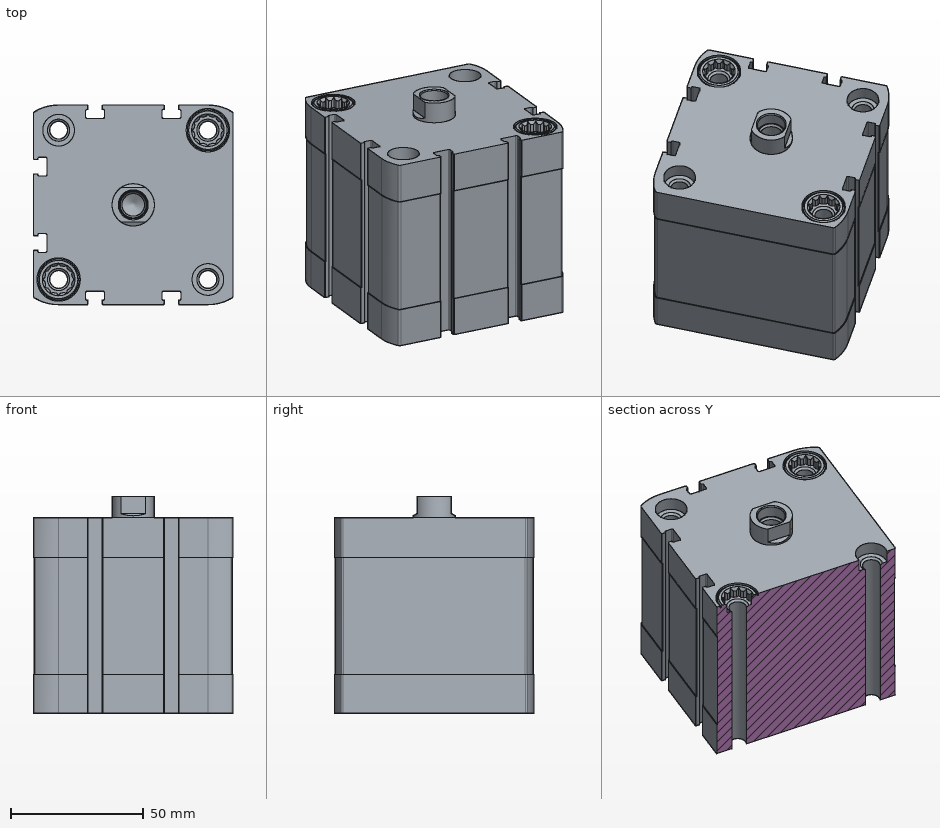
import cadquery as cq
import math

width = 75.5
total_height = 82
rod_projection = 8.0
housing_height = total_height - rod_projection
half_width = width / 2

bottom_cap_height = 14.8
top_cap_height = 15.1
barrel_inset = 0.3

corner_radius = 17.55
corner_start = 28.3
corner_edge_radius = 1.0

slot_offset = 14.4
slot_neck_width = 5.4
slot_width = 7.05
slot_depth = 5.1
slot_lip = 1.7
slot_edge_radius = 0.5
slot_mouth_bevel = 0.25

hole_offset = 28.2
through_diameter = 6.65
lead_in_diameter = 8.4
lead_in_depth = 0.7
counterbore_diameter = 12.0
counterbore_depth = 5.3

collar_diameter = 15.5
collar_chamfer = 0.5
collar_gap_diameter = 16.4
collar_gap_depth = 1.0
socket_squares = 3
socket_bore_diameter = 10.5
socket_point_diameter = 12.0
socket_lead_in_diameter = 12.3
socket_lead_in_depth = 1.3
socket_depth = 4.4

rod_diameter = 16.0
rod_radius = rod_diameter / 2
rod_base = housing_height - top_cap_height
flat_width = 13.0
flat_length = 6.5
flat_run_out_angle = 30
rod_bore_chamfer = 0.4
rod_bore_diameter = 10.5
rod_bore_depth = 5.1
rod_bore_seat_diameter = 9.8
rod_bore_seat_depth = 0.8
thread_diameter = 8.5
thread_depth = 13.1
drill_point_angle = 118


def cylinder(diameter, bottom, top):
    return cq.Workplane("XY").workplane(offset=bottom).circle(diameter / 2).extrude(top - bottom)


def cone(bottom_diameter, bottom, top_diameter, top):
    """A cone frustum on the Z axis, pointed where its bottom diameter is zero."""
    profile = cq.Workplane("XZ").moveTo(0, bottom)
    if bottom_diameter > 0:
        profile = profile.lineTo(bottom_diameter / 2, bottom)
    profile = profile.lineTo(top_diameter / 2, top).lineTo(0, top).close()
    return profile.revolve(360, (0, 0), (0, 1))


def housing_blank(inset, bottom, top):
    """A length of the housing's outer shape, set in on all sides by the inset."""
    side = half_width - inset
    radius = corner_radius - inset
    arc_centre_y = half_width - corner_radius
    run = side - corner_start
    corner_y = arc_centre_y + math.sqrt(radius**2 - run**2)
    half_sweep = math.asin(run / radius) / 2
    mid_x = corner_start + radius * math.sin(half_sweep)
    mid_y = arc_centre_y + radius * math.cos(half_sweep)
    blank = (
        cq.Workplane("XY")
        .workplane(offset=bottom)
        .moveTo(-corner_start, side)
        .lineTo(corner_start, side)
        .threePointArc((mid_x, mid_y), (side, corner_y))
        .lineTo(side, -corner_y)
        .threePointArc((mid_x, -mid_y), (corner_start, -side))
        .lineTo(-corner_start, -side)
        .threePointArc((-mid_x, -mid_y), (-side, -corner_y))
        .lineTo(-side, corner_y)
        .threePointArc((-mid_x, mid_y), (-corner_start, side))
        .close()
        .extrude(top - bottom)
    )
    sharp_edges = blank.edges("|Z and (<X or >X)")
    return sharp_edges.fillet(corner_edge_radius)


def slot_cutter(offset, angle, inset):
    """A T-slot in the +Y side at an X offset, then turned about Z to its own side.

    The edges of the slot's mouth are bevelled where it meets a side face set in by the inset.
    """
    cavity_depth = slot_depth - slot_lip
    cavity = (
        cq.Workplane("XY")
        .center(offset, half_width - slot_depth + cavity_depth / 2)
        .rect(slot_width, cavity_depth)
        .extrude(housing_height)
        .edges("|Z")
        .fillet(slot_edge_radius)
    )
    half_neck = slot_neck_width / 2
    half_mouth = half_neck + slot_mouth_bevel
    floor = half_width - slot_depth
    face = half_width - inset
    neck = (
        cq.Workplane("XY")
        .moveTo(offset - half_neck, floor)
        .lineTo(offset + half_neck, floor)
        .lineTo(offset + half_neck, face - slot_mouth_bevel)
        .lineTo(offset + half_mouth, face)
        .lineTo(offset - half_mouth, face)
        .lineTo(offset - half_neck, face - slot_mouth_bevel)
        .close()
        .extrude(housing_height)
    )
    return cavity.union(neck).rotate((0, 0, 0), (0, 0, 1), angle)


def housing_section(inset, bottom, top):
    """A length of the housing with slots in its +Y, -X and -Y sides."""
    section = housing_blank(inset, bottom, top)
    for angle in (0, 90, 180):
        for offset in (-slot_offset, slot_offset):
            section = section.cut(slot_cutter(offset, angle, inset))
    return section


def through_hole(floor):
    """The through bore, with a conical lead-in below the given floor level."""
    bore = cylinder(through_diameter, 0, floor)
    return bore.union(cone(through_diameter, floor - lead_in_depth, lead_in_diameter, floor))


def counterbored_hole():
    floor = housing_height - counterbore_depth
    return through_hole(floor).union(cylinder(counterbore_diameter, floor, housing_height))


def socket_cutter(floor):
    """Squares turned about a round bore, giving twelve points, with a conical lead-in at the top."""
    bore = cylinder(socket_bore_diameter, floor, housing_height)
    for index in range(socket_squares):
        square = (
            cq.Workplane("XY")
            .workplane(offset=floor)
            .polygon(4, socket_point_diameter)
            .extrude(socket_depth)
            .rotate((0, 0, 0), (0, 0, 1), index * 90 / socket_squares)
        )
        bore = bore.union(square)
    lead_in_bottom = housing_height - socket_lead_in_depth
    return bore.union(cone(socket_bore_diameter, lead_in_bottom, socket_lead_in_diameter, housing_height))


def collar_hole():
    """A socketed screw collar: the ring gap around it, its bevel, its socket and its bore."""
    floor = housing_height - socket_depth
    gap_floor = housing_height - collar_gap_depth
    collar = cylinder(collar_diameter, gap_floor, housing_height).faces(">Z").chamfer(collar_chamfer)
    gap = cylinder(collar_gap_diameter, gap_floor, housing_height).cut(collar)
    return through_hole(floor).union(socket_cutter(floor)).union(gap)


def make_housing():
    barrel_top = housing_height - top_cap_height
    body = housing_section(0, 0, bottom_cap_height)
    body = body.union(housing_section(barrel_inset, bottom_cap_height, barrel_top))
    body = body.union(housing_section(0, barrel_top, housing_height))

    for side in (-1, 1):
        x = side * hole_offset
        body = body.cut(collar_hole().translate((x, x, 0)))
        body = body.cut(counterbored_hole().translate((x, -x, 0)))

    return body.cut(cylinder(rod_diameter, rod_base, housing_height))


def flat_cutter():
    """Removes the +Y side of the rod end, running out along a slope at the bottom of the flat."""
    flat = flat_width / 2
    flat_bottom = total_height - flat_length
    run_out = (rod_radius - flat) * math.tan(math.radians(flat_run_out_angle))
    return (
        cq.Workplane("YZ")
        .moveTo(flat, flat_bottom)
        .lineTo(rod_radius, flat_bottom - run_out)
        .lineTo(rod_radius, total_height)
        .lineTo(flat, total_height)
        .close()
        .extrude(rod_radius, both=True)
    )


def rod_bore():
    bore_floor = total_height - rod_bore_depth
    thread_floor = total_height - thread_depth
    point_height = thread_diameter / 2 / math.tan(math.radians(drill_point_angle / 2))
    bore = cone(0, thread_floor - point_height, thread_diameter, thread_floor)
    bore = bore.union(cylinder(thread_diameter, thread_floor, bore_floor))
    bore = bore.union(cylinder(rod_bore_diameter, bore_floor, total_height))
    seat_bottom = bore_floor - rod_bore_seat_depth
    bore = bore.union(cone(thread_diameter, seat_bottom, rod_bore_seat_diameter, bore_floor))
    mouth_diameter = rod_bore_diameter + 2 * rod_bore_chamfer
    mouth = cone(rod_bore_diameter, total_height - rod_bore_chamfer, mouth_diameter, total_height)
    return bore.union(mouth)


def make_rod():
    rod = cylinder(rod_diameter, rod_base, total_height).cut(rod_bore())
    for angle in (0, 180):
        rod = rod.cut(flat_cutter().rotate((0, 0, 0), (0, 0, 1), angle))
    return rod


housing = make_housing()
rod = make_rod()
result = cq.Compound.makeCompound([housing.solids().val(), rod.solids().val()])